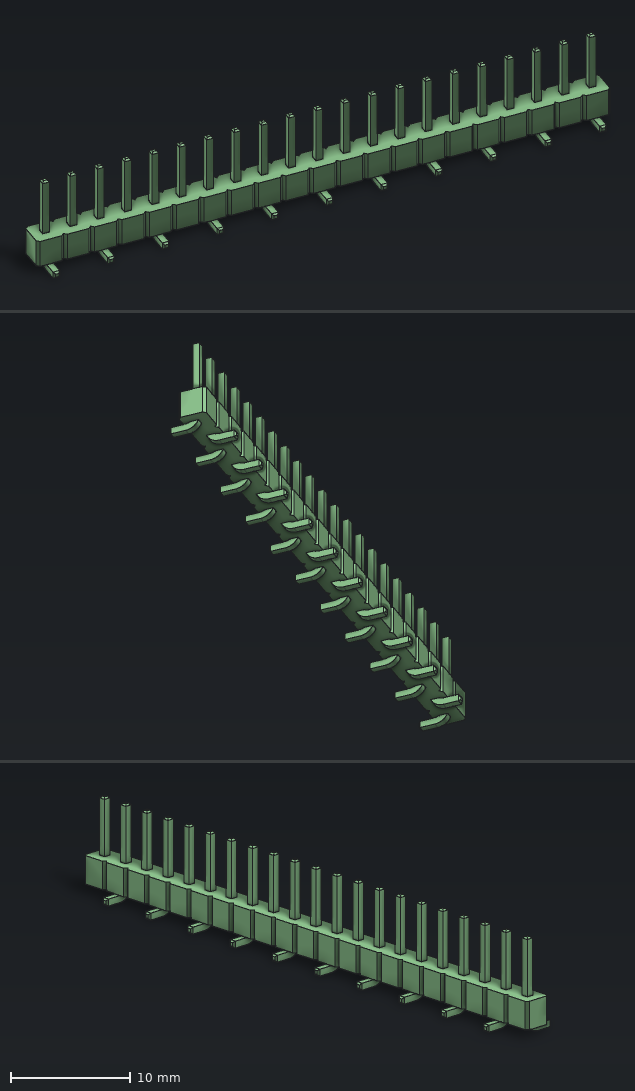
import cadquery as cq

pitch = 2.54
pin_count = 21

block_size = pitch
housing_bottom = 0.76
corner_chamfer = block_size / 10

pin_size = 0.64
total_height = 8.54
foot_reach = 2.5
inner_bend_radius = pin_size
tip_chamfer = pin_size / 4

outer_bend_radius = inner_bend_radius + pin_size
half_pin = pin_size / 2
bend_center_x = outer_bend_radius - half_pin


def housing_block(center_y):
    """One block of the housing with its four upright edges chamfered."""
    return (
        cq.Workplane("XY", origin=(0, center_y, housing_bottom))
        .rect(block_size, pitch)
        .extrude(block_size)
        .edges("|Z")
        .chamfer(corner_chamfer)
    )


def bent_pin():
    """A pin at Y = 0 whose foot points to +X, with both ends chamfered."""
    bar = (
        cq.Workplane("XZ")
        .moveTo(-half_pin, total_height)
        .lineTo(-half_pin, outer_bend_radius)
        .radiusArc((bend_center_x, 0), -outer_bend_radius)
        .lineTo(foot_reach, 0)
        .lineTo(foot_reach, pin_size)
        .lineTo(bend_center_x, pin_size)
        .radiusArc((half_pin, outer_bend_radius), inner_bend_radius)
        .lineTo(half_pin, total_height)
        .close()
        .extrude(half_pin, both=True)
    )
    post_chamfered = bar.faces(">Z").edges().chamfer(tip_chamfer)
    return post_chamfered.faces(">X").edges().chamfer(tip_chamfer)


right_pin = bent_pin()
left_pin = right_pin.rotate((0, 0, 0), (0, 0, 1), 180)

result = cq.Workplane("XY")
for index in range(pin_count):
    row_y = (index - (pin_count - 1) / 2) * pitch
    pin = right_pin if index % 2 == 0 else left_pin
    result = result.union(housing_block(row_y)).union(pin.translate((0, row_y, 0)))